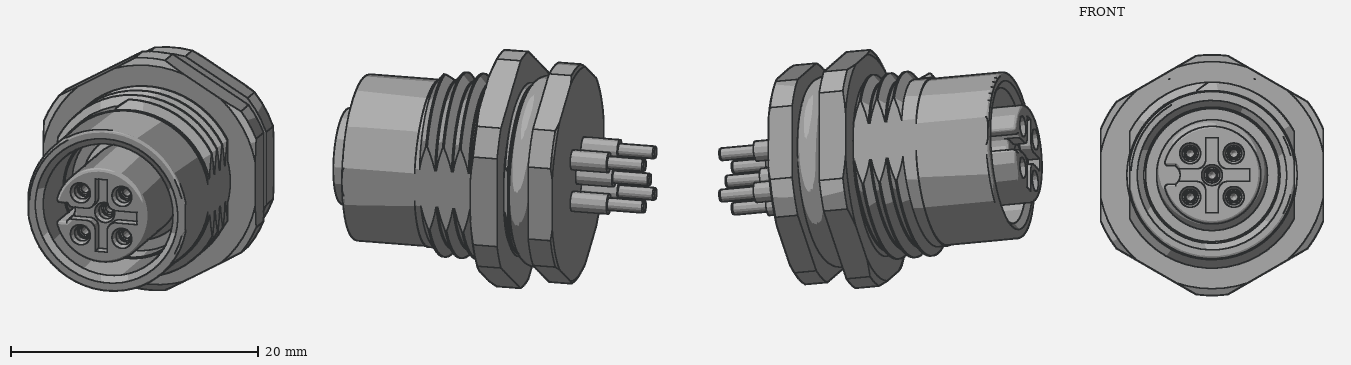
import cadquery as cq
import math


SHELL_FRONT = 1.45
THREAD_ZONE_FRONT = 7.55
NUT_FRONT = 12.8
NUT_REAR = 15.02
THREAD_ZONE_REAR = 15.3
FLANGE_FRONT = 17.47
FLANGE_REAR = 19.48
SLEEVE_END = 22.5
WIRE_END = 25.5

SHELL_RADIUS = 6.75
ROOT_RADIUS = 6.83
NECK_RADIUS = 6.55
FLAT_DISTANCE = 6.65
SHELL_EDGE_FILLET = 0.2

MOUTH_RADIUS = 6.05
CAVITY_RADIUS = 5.5
CAVITY_REAR_RADIUS = 5.38
MOUTH_CHAMFER_LENGTH = 0.4
CAVITY_STEP = 7.15
CAVITY_FLOOR = 9.18

TRIM_MARGIN = 0.25

PITCH = 1.4
CREST_RADIUS = 7.52
CREST_WIDTH = 0.13
ROOT_WIDTH = 1.28
THREAD_EMBED = 0.05
FIRST_CREST_Y = 8.3
RUN_OUT_RADIUS = 6.94
RUN_OUT_LENGTH = 1.53
LEAD_IN_ANGLE = 15.0
LEAD_IN_CREST_X = -0.28
LEAD_IN_ROOT_X = -1.22

FLANGE_ACROSS_FLATS = 16.88
FLANGE_CORNER_RADIUS = 8.98
FLANGE_FACE_RADIUS = 8.7
FLANGE_CHAMFER_LENGTH = 0.15
NUT_ACROSS_FLATS = 18.0
NUT_CORNER_RADIUS = 9.75
NUT_FACE_RADIUS = 9.18
NUT_CHAMFER_LENGTH = 0.23
NUT_BORE_RADIUS = 6.88

SEAL_SECTION_RADIUS = 1.0
SEAL_RADIUS = 6.75
SEAL_SQUEEZE = 0.03
SEAL_Y = FLANGE_FRONT - SEAL_SECTION_RADIUS + SEAL_SQUEEZE

INSERT_RADIUS = 3.95
INSERT_FILLET = 0.28
SHOULDER_RADIUS = 4.5
SHOULDER_FILLET = 1.0
SHOULDER_FRONT = CAVITY_FLOOR - SHOULDER_FILLET
KEY_HALF_WIDTH = 0.75
KEY_STRAIGHT_X = -2.95
KEY_BOTTOM_X = -2.58
CROSS_HALF_LENGTH = 3.03
CROSS_WIDTH = 1.02
CROSS_CORNER_RADIUS = 0.75
CROSS_DEPTH = 0.97

CONTACT_SPACING = 1.75
OUTER_CONTACTS = [
    (x_side * CONTACT_SPACING, z_side * CONTACT_SPACING)
    for x_side in (-1, 1)
    for z_side in (-1, 1)
]
SOCKET_MOUTH_RADIUS = 0.85
SOCKET_BORE_RADIUS = 0.65
SOCKET_CONE_LENGTH = 0.45
SOCKET_BORE_LENGTH = 0.76
CONTACT_MOUTH_RADIUS = 0.48
CONTACT_BORE_RADIUS = 0.35
CONTACT_CONE_LENGTH = 0.13
CONTACT_BORE_LENGTH = 1.53
CONTACT_TIP_LENGTH = 0.28
SLEEVE_RADIUS = 0.82
WIRE_RADIUS = 0.5
WIRE_CHAMFER_LENGTH = 0.13
WIRE_CHAMFER_WIDTH = 0.08


def turned(points):
    """Solid turned about the Y axis from (radius, y) points."""
    return cq.Workplane("XY").polyline(points).close().revolve(360, (0, 0, 0), (0, 1, 0))


def at_y(y):
    """Sketch plane across the axis; sketch x is X, sketch y is Z, and positive extrusion is -Y."""
    return cq.Workplane("XZ", origin=(0, y, 0))


def hexagon(across_flats, front, rear):
    """Hexagonal prism with two flats square to X."""
    across_corners = across_flats / math.cos(math.pi / 6)
    prism = at_y(front).polygon(6, across_corners).extrude(front - rear)
    return prism.rotate((0, 0, 0), (0, 1, 0), 30)


def make_shell():
    shell = turned([
        (0, SHELL_FRONT),
        (SHELL_RADIUS, SHELL_FRONT),
        (SHELL_RADIUS, THREAD_ZONE_FRONT),
        (NECK_RADIUS, THREAD_ZONE_FRONT),
        (NECK_RADIUS, FLANGE_FRONT),
        (0, FLANGE_FRONT),
    ])
    return shell.faces("<Y").edges().fillet(SHELL_EDGE_FILLET)


def make_cavity():
    return turned([
        (0, SHELL_FRONT),
        (MOUTH_RADIUS, SHELL_FRONT),
        (CAVITY_RADIUS, SHELL_FRONT + MOUTH_CHAMFER_LENGTH),
        (CAVITY_RADIUS, CAVITY_STEP),
        (CAVITY_REAR_RADIUS, CAVITY_STEP),
        (CAVITY_REAR_RADIUS, CAVITY_FLOOR),
        (0, CAVITY_FLOOR),
    ])


def make_threaded_sleeve():
    start = FIRST_CREST_Y - PITCH * LEAD_IN_ANGLE / 360
    height = THREAD_ZONE_REAR + PITCH / 2 - start
    base_radius = ROOT_RADIUS - THREAD_EMBED
    flank_slope = (ROOT_WIDTH - CREST_WIDTH) / (CREST_RADIUS - ROOT_RADIUS)
    base_width = ROOT_WIDTH + THREAD_EMBED * flank_slope
    helix = cq.Wire.makeHelix(PITCH, height, base_radius)
    ridge = (
        cq.Workplane("XZ")
        .polyline([
            (base_radius, -base_width / 2),
            (CREST_RADIUS, -CREST_WIDTH / 2),
            (CREST_RADIUS, CREST_WIDTH / 2),
            (base_radius, base_width / 2),
        ])
        .close()
        .sweep(cq.Workplane(obj=helix), isFrenet=True)
        .rotate((0, 0, 0), (1, 0, 0), -90)
    )
    crest_angle = math.degrees(math.asin(LEAD_IN_CREST_X / CREST_RADIUS))
    ridge = ridge.rotate((0, 0, 0), (0, 1, 0), -90 + crest_angle - LEAD_IN_ANGLE).translate((0, start, 0))

    beyond = CREST_RADIUS + TRIM_MARGIN
    lead_in_cut = (
        at_y(THREAD_ZONE_FRONT - PITCH)
        .polyline([
            (LEAD_IN_ROOT_X, ROOT_RADIUS),
            (LEAD_IN_CREST_X, CREST_RADIUS),
            (LEAD_IN_CREST_X, beyond),
            (-beyond / 2, beyond),
            (-beyond / 2, 0),
            (LEAD_IN_ROOT_X, 0),
        ])
        .close()
        .extrude(-2 * PITCH)
    )
    ridge = ridge.cut(lead_in_cut)

    root = at_y(0).circle(ROOT_RADIUS).extrude(-WIRE_END)
    zone_length = THREAD_ZONE_REAR - THREAD_ZONE_FRONT
    zone = at_y(THREAD_ZONE_FRONT).circle(beyond).extrude(-zone_length)
    run_out_cut = turned([
        (RUN_OUT_RADIUS, THREAD_ZONE_REAR),
        (beyond, THREAD_ZONE_REAR - RUN_OUT_LENGTH),
        (beyond, THREAD_ZONE_REAR + TRIM_MARGIN),
        (RUN_OUT_RADIUS, THREAD_ZONE_REAR + TRIM_MARGIN),
    ])
    return root.union(ridge).intersect(zone).cut(run_out_cut)


def make_flange():
    envelope = turned([
        (0, FLANGE_FRONT),
        (FLANGE_CORNER_RADIUS, FLANGE_FRONT),
        (FLANGE_CORNER_RADIUS, FLANGE_REAR - FLANGE_CHAMFER_LENGTH),
        (FLANGE_FACE_RADIUS, FLANGE_REAR),
        (0, FLANGE_REAR),
    ])
    return hexagon(FLANGE_ACROSS_FLATS, FLANGE_FRONT, FLANGE_REAR).intersect(envelope)


def make_nut():
    envelope = turned([
        (NUT_BORE_RADIUS, NUT_FRONT),
        (NUT_FACE_RADIUS, NUT_FRONT),
        (NUT_CORNER_RADIUS, NUT_FRONT + NUT_CHAMFER_LENGTH),
        (NUT_CORNER_RADIUS, NUT_REAR),
        (NUT_BORE_RADIUS, NUT_REAR),
    ])
    return hexagon(NUT_ACROSS_FLATS, NUT_FRONT, NUT_REAR).intersect(envelope)


def make_seal():
    return (
        cq.Workplane("XY")
        .center(SEAL_RADIUS, SEAL_Y)
        .circle(SEAL_SECTION_RADIUS)
        .revolve(360, (-SEAL_RADIUS, 0, 0), (-SEAL_RADIUS, 1, 0))
    )


def make_socket(x, z, front):
    bore_start = front + SOCKET_CONE_LENGTH
    bore_end = bore_start + SOCKET_BORE_LENGTH
    contact_end = bore_end + CONTACT_CONE_LENGTH + CONTACT_BORE_LENGTH
    socket = turned([
        (0, front),
        (SOCKET_MOUTH_RADIUS, front),
        (SOCKET_BORE_RADIUS, bore_start),
        (SOCKET_BORE_RADIUS, bore_end),
        (CONTACT_MOUTH_RADIUS, bore_end),
        (CONTACT_BORE_RADIUS, bore_end + CONTACT_CONE_LENGTH),
        (CONTACT_BORE_RADIUS, contact_end),
        (0, contact_end + CONTACT_TIP_LENGTH),
    ])
    return socket.translate((x, 0, z))


def make_insert():
    core = at_y(0).circle(INSERT_RADIUS).extrude(-CAVITY_FLOOR)
    keyway = (
        at_y(0)
        .moveTo(-SHOULDER_RADIUS, -KEY_HALF_WIDTH)
        .lineTo(KEY_STRAIGHT_X, -KEY_HALF_WIDTH)
        .threePointArc((KEY_BOTTOM_X, 0), (KEY_STRAIGHT_X, KEY_HALF_WIDTH))
        .lineTo(-SHOULDER_RADIUS, KEY_HALF_WIDTH)
        .close()
        .extrude(-CAVITY_FLOOR)
    )
    core = core.cut(keyway)
    key_corner_x = -math.sqrt(INSERT_RADIUS**2 - KEY_HALF_WIDTH**2)
    for side in (-1, 1):
        corner = (key_corner_x, CAVITY_FLOOR / 2, side * KEY_HALF_WIDTH)
        core = core.edges(cq.selectors.NearestToPointSelector(corner)).fillet(INSERT_FILLET)
    core = core.faces("<Y").edges().fillet(INSERT_FILLET)

    shoulder = at_y(SHOULDER_FRONT).circle(SHOULDER_RADIUS).extrude(SHOULDER_FRONT - FLANGE_FRONT)
    shoulder = shoulder.faces("<Y").edges().fillet(SHOULDER_FILLET)

    cut_depth = CROSS_DEPTH + INSERT_FILLET
    cross = at_y(0).rect(2 * CROSS_HALF_LENGTH, CROSS_WIDTH).extrude(-cut_depth)
    cross = cross.union(at_y(0).rect(CROSS_WIDTH, 2 * CROSS_HALF_LENGTH).extrude(-cut_depth))
    inner_corners = cq.selectors.BoxSelector(
        (-CROSS_WIDTH, 0, -CROSS_WIDTH), (CROSS_WIDTH, cut_depth, CROSS_WIDTH)
    )
    cross = cross.edges("|Y").edges(inner_corners).fillet(CROSS_CORNER_RADIUS)
    cross = cross.cut(core.translate((0, CROSS_DEPTH, 0)))

    insert = core.union(shoulder).cut(cross).cut(make_socket(0, 0, CROSS_DEPTH))
    for x, z in OUTER_CONTACTS:
        insert = insert.cut(make_socket(x, z, 0))
    return insert


def make_wire(x, z):
    wire = turned([
        (0, FLANGE_FRONT),
        (SLEEVE_RADIUS, FLANGE_FRONT),
        (SLEEVE_RADIUS, SLEEVE_END),
        (WIRE_RADIUS, SLEEVE_END),
        (WIRE_RADIUS, WIRE_END - WIRE_CHAMFER_LENGTH),
        (WIRE_RADIUS - WIRE_CHAMFER_WIDTH, WIRE_END),
        (0, WIRE_END),
    ])
    return wire.translate((x, 0, z))


body = make_shell().union(make_threaded_sleeve())
flat_band = cq.Workplane("XY").box(2 * FLAT_DISTANCE, 2 * WIRE_END, 4 * CREST_RADIUS)
body = body.intersect(flat_band).cut(make_cavity())

result = body.union(make_insert()).union(make_flange()).union(make_nut()).union(make_seal())
for x, z in [(0, 0)] + OUTER_CONTACTS:
    result = result.union(make_wire(x, z))